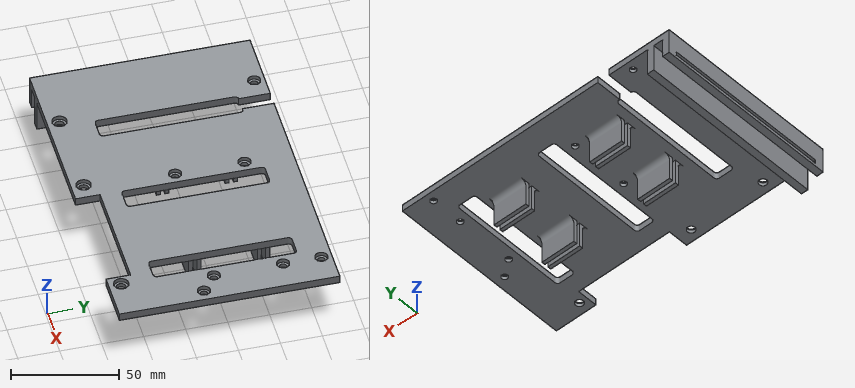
import cadquery as cq
import math

plate_length = 167.2
plate_width = 105.0
plate_thickness = 4.0

flange_thickness = 4.0
outer_flange_bottom = -15.0
inner_flange_start = 9.6
inner_flange_bottom = -20.0

window_length = 94.6
window_height = 2.0
window_top = -11.0

slot_width = 10.9
slot_length = 68.2
slot_corner_radius = 1.75
slot_count = 3
slot_pitch = 49.85
first_slot_start = 36.0
slot_front = 21.7
slot_center_y = slot_front + slot_length / 2

passage_start = 37.7
passage_width = 7.0

notch_start = 85.6
notch_length = 56.8
notch_depth = 11.7

small_hole_diameter = 3.5
small_bore_diameter = 6.0
large_hole_diameter = 4.5
large_bore_diameter = 7.0
bore_depth = 2.0

rear_hole_y = 100.0
upper_hole_y = 81.8
lower_hole_y = 48.8
right_hole_x = 152.2
middle_hole_x = 80.2
small_hole_points = [
    (27.2, rear_hole_y),
    (right_hole_x, rear_hole_y),
    (middle_hole_x, upper_hole_y),
    (right_hole_x, upper_hole_y),
    (middle_hole_x, lower_hole_y),
    (right_hole_x, lower_hole_y),
    (161.2, 41.8),
]
front_hole_y = 6.0
large_hole_points = [(x, front_hole_y) for x in (32.2, 77.2, 147.2)]

clip_length = 20.0
clip_wall = 2.0
clip_gap = 2.0
clip_bottom = -19.0
clip_fillet = 3.0
clip_starts_x = (52.2, 112.2)
clip_centers_y = (44.9, 77.6)


def box(x, y, z, length, width, height):
    """Box placed by its lowest-coordinate corner."""
    return cq.Workplane("XY").box(length, width, height, centered=False).translate((x, y, z))


def plate():
    """Plate with its front notch, long slots and rear passage."""
    body = box(0, 0, -plate_thickness, plate_length, plate_width, plate_thickness)
    body = body.cut(box(notch_start, 0, -plate_thickness, notch_length, notch_depth, plate_thickness))
    for index in range(slot_count):
        center_x = first_slot_start + slot_width / 2 + index * slot_pitch
        slot = (
            cq.Workplane("XY")
            .center(center_x, slot_center_y)
            .rect(slot_width, slot_length)
            .extrude(-plate_thickness)
            .edges("|Z")
            .fillet(slot_corner_radius)
        )
        body = body.cut(slot)
    passage_length = plate_width - slot_center_y
    return body.cut(
        box(passage_start, slot_center_y, -plate_thickness, passage_width, passage_length, plate_thickness)
    )


def counterbores(points, hole_diameter, bore_diameter):
    """Cutting tools for through holes with a wider bore at the upper face."""
    holes = cq.Workplane("XY").pushPoints(points).circle(hole_diameter / 2).extrude(-plate_thickness)
    bores = cq.Workplane("XY").pushPoints(points).circle(bore_diameter / 2).extrude(-bore_depth)
    return holes.union(bores)


def flanges():
    """Outer flange with its window, and the deeper inner flange."""
    outer = box(0, 0, outer_flange_bottom, flange_thickness, plate_width, -outer_flange_bottom)
    window_front = (plate_width - window_length) / 2
    window = box(
        0, window_front, window_top - window_height, flange_thickness, window_length, window_height
    )
    inner = box(
        inner_flange_start, 0, inner_flange_bottom, flange_thickness, plate_width, -inner_flange_bottom
    )
    return outer.cut(window).union(inner)


def clip_wall_solid(start_x, inner_y, outward):
    """One clip wall; outward is -1 or +1, the Y direction of its filleted outer face."""
    outer_y = inner_y + outward * clip_wall
    fillet_bottom = -plate_thickness - clip_fillet
    fillet_edge_y = outer_y + outward * clip_fillet
    arc_offset = clip_fillet * (1 - math.cos(math.pi / 4))
    return (
        cq.Workplane("YZ", origin=(start_x, 0, 0))
        .moveTo(inner_y, -plate_thickness)
        .lineTo(inner_y, clip_bottom)
        .lineTo(outer_y, clip_bottom)
        .lineTo(outer_y, fillet_bottom)
        .threePointArc(
            (outer_y + outward * arc_offset, -plate_thickness - arc_offset),
            (fillet_edge_y, -plate_thickness),
        )
        .close()
        .extrude(clip_length)
    )


result = plate().union(flanges())
for clip_x in clip_starts_x:
    for clip_y in clip_centers_y:
        for side in (-1, 1):
            result = result.union(clip_wall_solid(clip_x, clip_y + side * clip_gap / 2, side))
result = result.cut(counterbores(small_hole_points, small_hole_diameter, small_bore_diameter))
result = result.cut(counterbores(large_hole_points, large_hole_diameter, large_bore_diameter))